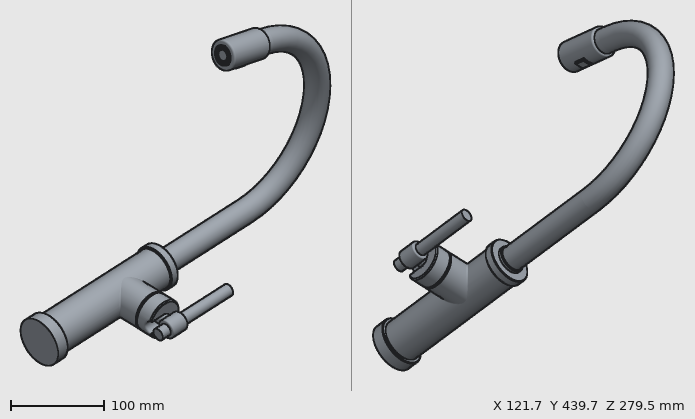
import cadquery as cq
import math


base_radius = 28.5
base_height = 15.5
base_chamfer = 1.0
body_radius = 24.3
collar_radius = 26.5
collar_bottom = 175.5
collar_top = 186.0
collar_chamfer = 0.8
gland_radius = 16.0
gland_top = 190.0
gland_chamfer = 0.8

total_height = 439.67
tube_radius = 14.3
bend_radius = 110.8
bend_top = total_height - tube_radius
straight_end = bend_top - bend_radius
head_tilt = 15.0
bend_angle = 180.0 - head_tilt

neck_length = 7.5
head_length = 57.2
head_radius = 17.5
head_back_fillet = 2.2
head_front_fillet = 2.2
aerator_radius = 11.6
aerator_depth = 3.0
aerator_core_radius = 6.3
aerator_ring_radii = (8.0, 9.8)
aerator_ring_width = 0.8
button_length = 14.0
button_width = 11.5
button_center = 37.5
button_height = 2.0
button_chamfer = 0.8

boss_height = 122.0
boss_radius = 23.0
boss_end = 68.8
boss_chamfer = 1.5
boss_root_fillet = 1.5
seam_position = 48.8
seam_width = 2.6
seam_depth = 0.8
slot_radius = 7.6
slot_mouth_fillet = 2.1

total_width = 121.69
handle_reach = total_width - base_radius
hub_radius = 11.3
hub_length = 22.4
hub_fillet = 1.5
hub_position = handle_reach - hub_radius
stem_radius = 7.2
stem_start = boss_end - 2.0 * slot_radius
rod_radius = 7.2
rod_bottom = 98.8
rod_top = 206.5


def rod_along_y(radius, bottom, top, x=0.0):
    """Round bar parallel to Y between two heights."""
    return cq.Workplane("XZ", origin=(x, bottom, 0)).circle(radius).extrude(bottom - top)


def rod_along_x(radius, start, end):
    """Round bar along X at the height of the valve boss."""
    return cq.Workplane("YZ", origin=(start, boss_height, 0)).circle(radius).extrude(end - start)


def make_boss():
    return rod_along_x(boss_radius, 0.0, boss_end).faces(">X").chamfer(boss_chamfer)


def cut_seam(solid):
    """Shallow V groove around the boss between its fixed part and its cap."""
    groove = (
        cq.Workplane("XY", origin=(0, boss_height, 0))
        .moveTo(seam_position - seam_width / 2, boss_radius)
        .lineTo(seam_position, boss_radius - seam_depth)
        .lineTo(seam_position + seam_width / 2, boss_radius)
        .close()
        .revolve(360, (0, 0, 0), (1, 0, 0))
    )
    return solid.cut(groove)


def cut_handle_slot(solid):
    """Round-ended slot with a rounded mouth, in the -Y side of the boss end."""
    boss_bottom = boss_height - boss_radius
    slot = rod_along_y(slot_radius, boss_bottom, boss_height, boss_end)
    reach = slot_radius + slot_mouth_fillet
    mouth = cq.selectors.BoxSelector(
        (boss_end - reach, boss_bottom - slot_mouth_fillet, -reach),
        (boss_end - boss_chamfer, boss_height - boss_radius / 2, reach),
    )
    return solid.cut(slot).edges(mouth).fillet(slot_mouth_fillet)


def make_body():
    base = rod_along_y(base_radius, 0.0, base_height).faces(">Y").chamfer(base_chamfer)
    column = rod_along_y(body_radius, 0.0, collar_top)
    collar = rod_along_y(collar_radius, collar_bottom, collar_top)
    collar = collar.faces("<Y or >Y").chamfer(collar_chamfer)
    gland = rod_along_y(gland_radius, collar_top, gland_top).faces(">Y").chamfer(gland_chamfer)
    body = column.union(make_boss())
    body = body.edges("not(%LINE or %CIRCLE)").fillet(boss_root_fillet)
    body = cut_handle_slot(cut_seam(body))
    return body.union(base).union(collar).union(gland)


def make_handle():
    stem = rod_along_x(stem_radius, stem_start, hub_position)
    hub_bottom = boss_height - hub_length / 2
    hub = rod_along_y(hub_radius, hub_bottom, hub_bottom + hub_length, hub_position)
    hub = hub.faces("<Y or >Y").edges().fillet(hub_fillet)
    rod = rod_along_y(rod_radius, rod_bottom, rod_top, hub_position)
    return stem.union(hub).union(rod)


def make_spout():
    straight = rod_along_y(tube_radius, collar_top, straight_end)
    bend = (
        cq.Workplane("XZ", origin=(0, straight_end, 0))
        .circle(tube_radius)
        .revolve(bend_angle, (-1, bend_radius, 0), (1, bend_radius, 0))
    )
    return straight.union(bend)


def make_button(head_plane):
    """Rectangular button on the underside of the spray head, rooted at the head's axis."""
    button_reach = head_radius + button_height
    button_plane = cq.Plane(
        origin=head_plane.toWorldCoords((0, 0, button_center)),
        xDir=head_plane.xDir,
        normal=-head_plane.yDir,
    )
    button = cq.Workplane(button_plane).rect(button_width, button_length).extrude(button_reach)
    return button.faces("<Z").chamfer(button_chamfer)


def make_spray_head():
    """Spray head at the end of the bend, pointing back towards -Y and slightly up."""
    tilt = math.radians(head_tilt)
    start = cq.Vector(
        0,
        straight_end + bend_radius * math.sin(tilt),
        bend_radius * (1 + math.cos(tilt)),
    )
    axis = cq.Vector(0, -math.cos(tilt), math.sin(tilt))
    plane = cq.Plane(origin=start, xDir=(1, 0, 0), normal=axis)

    neck = cq.Workplane(plane).circle(tube_radius).extrude(neck_length)
    head = neck.faces("<Y").workplane().circle(head_radius).extrude(head_length, combine=False)
    head = head.faces("<Y").edges().fillet(head_front_fillet).faces(">Y").edges().fillet(head_back_fillet)

    face = cq.Workplane(plane).workplane(offset=neck_length + head_length)
    recess = face.circle(aerator_radius).circle(aerator_core_radius).extrude(-aerator_depth)
    head = head.cut(recess)
    for radius in aerator_ring_radii:
        ring = face.circle(radius + aerator_ring_width / 2).circle(radius - aerator_ring_width / 2)
        head = head.union(ring.extrude(-aerator_depth))

    return neck.union(head).union(make_button(plane))


result = make_body().union(make_handle()).union(make_spout()).union(make_spray_head())